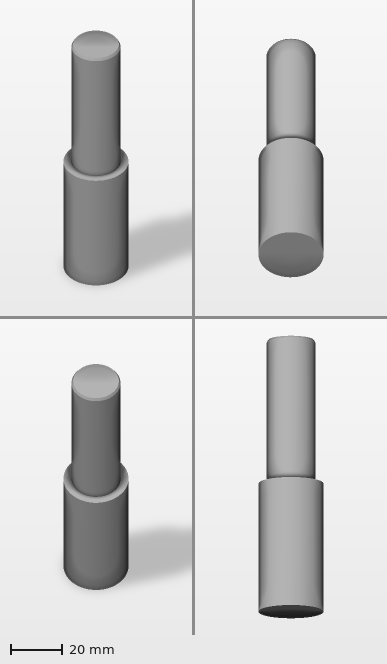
import cadquery as cq

total_height = 108.0
sleeve_height = 51.0
sleeve_diameter = 25.4
pin_diameter = 19.1
pin_chamfer_height = 1.1
pin_chamfer_width = 0.6


def make_pin():
    """Full-length round pin with a chamfered top end."""
    return (
        cq.Workplane("XY")
        .circle(pin_diameter / 2)
        .extrude(total_height)
        .faces(">Z")
        .chamfer(pin_chamfer_height, pin_chamfer_width)
    )


def make_sleeve():
    """Plain round sleeve that fits around the lower part of the pin."""
    return (
        cq.Workplane("XY")
        .circle(sleeve_diameter / 2)
        .circle(pin_diameter / 2)
        .extrude(sleeve_height)
    )


pin = make_pin()
sleeve = make_sleeve()

result = cq.Compound.makeCompound([pin.val(), sleeve.val()])